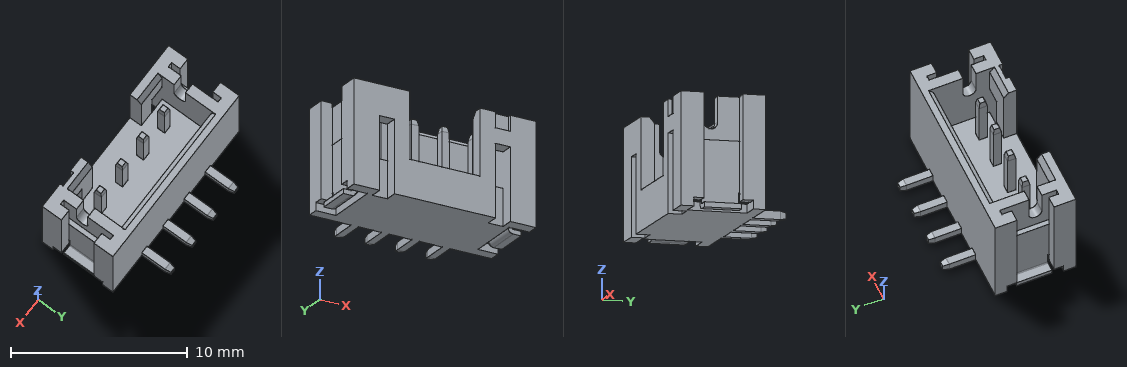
import cadquery as cq
import math


LENGTH = 11.95
DEPTH = 5.0
HEIGHT = 6.6

CAVITY_LENGTH = 8.56
FLOOR_HEIGHT = 2.37
FRONT_WALL = 0.81
BACK_WALL = 0.7
LEAD_IN_WIDTH = 0.3
LEAD_IN_DEPTH = 0.33

WINDOW_WIDTH = 4.61
FRONT_SLOT_WIDTH = 0.97
FRONT_SLOT_X = (CAVITY_LENGTH / 2 - FRONT_SLOT_WIDTH, CAVITY_LENGTH / 2)
FRONT_SLOT_TOP = 4.62
KEY_NOTCH_HEIGHT = 1.0
KEY_NOTCH_DEPTH = 0.23

CLIP_CENTER_Y = 2.51
CLIP_SLOT_WIDTH = 3.5
CLIP_SLOT_OUTER_X = 5.25
SHEET = 0.3
CLIP_SLOT_INNER_X = CLIP_SLOT_OUTER_X - SHEET
END_RECESS_WIDTH = 2.3
FOOT_RELIEF_HEIGHT = 0.5
FOOT_RELIEF_INNER_X = CLIP_SLOT_INNER_X - SHEET

END_NOTCH_WIDTH = 0.79
END_NOTCH_CENTER_Y = 2.05
END_NOTCH_BOTTOM = 4.68

PIN_COUNT = 4
PIN_PITCH = 2.0
PIN_SIZE = 0.5
PIN_TIP_SIZE = 0.35
PIN_TAPER = 0.37
PIN_CENTER_Y = 1.89
PIN_TOP = 5.8
TAIL_LENGTH = 2.01

CLIP_CLEARANCE = 0.04
CLIP_PLATE_WIDTH = CLIP_SLOT_WIDTH - 2 * CLIP_CLEARANCE
CLIP_TOP = 3.99
CLIP_SHOULDER_HEIGHT = 1.0
FOOT_WIDTH = 2.19
FOOT_OUTER_X = 5.83
BEND_INNER_RADIUS = 0.05
BEND_OUTER_RADIUS = BEND_INNER_RADIUS + SHEET


def box(x_range, y_range, z_range):
    """Box between the given (low, high) limits along each axis."""
    (x0, x1), (y0, y1), (z0, z1) = x_range, y_range, z_range
    return cq.Workplane("XY").box(x1 - x0, y1 - y0, z1 - z0, centered=False).translate((x0, y0, z0))


def span(center, width):
    """Low and high limits of a width centred on a coordinate."""
    return center - width / 2, center + width / 2


def both_ends(shape):
    """The +X shape together with its mirror image at the -X end."""
    return shape.union(shape.mirror("YZ"))


def make_cavity():
    front = FRONT_WALL
    back = DEPTH - BACK_WALL
    lead_in_bottom = HEIGHT - LEAD_IN_DEPTH
    profile = [
        (front, FLOOR_HEIGHT),
        (back, FLOOR_HEIGHT),
        (back, lead_in_bottom),
        (back + LEAD_IN_WIDTH, HEIGHT),
        (front - LEAD_IN_WIDTH, HEIGHT),
        (front, lead_in_bottom),
    ]
    return cq.Workplane("YZ").polyline(profile).close().extrude(CAVITY_LENGTH / 2, both=True)


def make_front_window():
    return box(span(0, WINDOW_WIDTH), (0, FRONT_WALL), (FLOOR_HEIGHT, HEIGHT))


def make_front_slots():
    return both_ends(box(FRONT_SLOT_X, (0, FRONT_WALL), (0, FRONT_SLOT_TOP)))


def make_key_notch():
    return box(FRONT_SLOT_X, (0, KEY_NOTCH_DEPTH), (HEIGHT - KEY_NOTCH_HEIGHT, HEIGHT))


def make_clip_openings():
    """T-shaped openings in the ends, with a low relief around the foot of each clip."""
    slot_y = span(CLIP_CENTER_Y, CLIP_SLOT_WIDTH)
    end_x = LENGTH / 2
    slot = box((CLIP_SLOT_INNER_X, CLIP_SLOT_OUTER_X), slot_y, (0, HEIGHT))
    recess = box((CLIP_SLOT_OUTER_X, end_x), span(CLIP_CENTER_Y, END_RECESS_WIDTH), (0, HEIGHT))
    relief = box((FOOT_RELIEF_INNER_X, end_x), slot_y, (0, FOOT_RELIEF_HEIGHT))
    return both_ends(slot.union(recess).union(relief))


def make_end_notches():
    radius = END_NOTCH_WIDTH / 2
    arc_center_z = END_NOTCH_BOTTOM + radius
    low_y, high_y = span(END_NOTCH_CENTER_Y, END_NOTCH_WIDTH)
    return (
        cq.Workplane("YZ")
        .moveTo(low_y, HEIGHT)
        .lineTo(low_y, arc_center_z)
        .threePointArc((END_NOTCH_CENTER_Y, END_NOTCH_BOTTOM), (high_y, arc_center_z))
        .lineTo(high_y, HEIGHT)
        .close()
        .extrude(LENGTH / 2, both=True)
    )


def make_tapered_bar(length):
    """Square bar standing on the XY plane and rising to a tapered tip."""
    taper_angle = math.degrees(math.atan((PIN_SIZE - PIN_TIP_SIZE) / 2 / PIN_TAPER))
    shaft_length = length - PIN_TAPER
    shaft = cq.Workplane("XY").rect(PIN_SIZE, PIN_SIZE).extrude(shaft_length)
    tip = (
        cq.Workplane("XY", origin=(0, 0, shaft_length))
        .rect(PIN_SIZE, PIN_SIZE)
        .extrude(PIN_TAPER, taper=taper_angle)
    )
    return shaft.union(tip)


def make_pin(x):
    """Upright post from the cavity floor and a tail out of the back face."""
    post = make_tapered_bar(PIN_TOP - FLOOR_HEIGHT).translate((x, PIN_CENTER_Y, FLOOR_HEIGHT))
    tail = make_tapered_bar(TAIL_LENGTH).rotate((0, 0, 0), (1, 0, 0), -90)
    return post.union(tail.translate((x, DEPTH, PIN_SIZE / 2)))


def make_housing():
    housing = box(span(0, LENGTH), (0, DEPTH), (0, HEIGHT))
    housing = housing.cut(make_cavity())
    housing = housing.cut(make_front_window())
    housing = housing.cut(make_front_slots())
    housing = housing.cut(make_key_notch())
    housing = housing.cut(make_clip_openings())
    housing = housing.cut(make_end_notches())
    for i in range(PIN_COUNT):
        housing = housing.union(make_pin((i - (PIN_COUNT - 1) / 2) * PIN_PITCH))
    return housing


def make_clip():
    """Clip at the +X end: a wide plate above a narrow leg that bends outwards into a foot."""
    plate_x = (CLIP_SLOT_INNER_X, CLIP_SLOT_OUTER_X)
    foot_y = span(CLIP_CENTER_Y, FOOT_WIDTH)
    plate = box(plate_x, span(CLIP_CENTER_Y, CLIP_PLATE_WIDTH), (CLIP_SHOULDER_HEIGHT, CLIP_TOP))
    leg = box(plate_x, foot_y, (0, CLIP_SHOULDER_HEIGHT))
    foot = box((CLIP_SLOT_INNER_X, FOOT_OUTER_X), foot_y, (0, SHEET))
    bend = leg.union(foot)
    inner_edge = cq.selectors.NearestToPointSelector((CLIP_SLOT_OUTER_X, CLIP_CENTER_Y, SHEET))
    outer_edge = cq.selectors.NearestToPointSelector((CLIP_SLOT_INNER_X, CLIP_CENTER_Y, 0))
    bend = bend.edges(inner_edge).fillet(BEND_INNER_RADIUS)
    bend = bend.edges(outer_edge).fillet(BEND_OUTER_RADIUS)
    return plate.union(bend)


housing = make_housing()
right_clip = make_clip()
clips = [right_clip, right_clip.mirror("YZ")]

result = cq.Compound.makeCompound([housing.val(), *[clip.val() for clip in clips]])